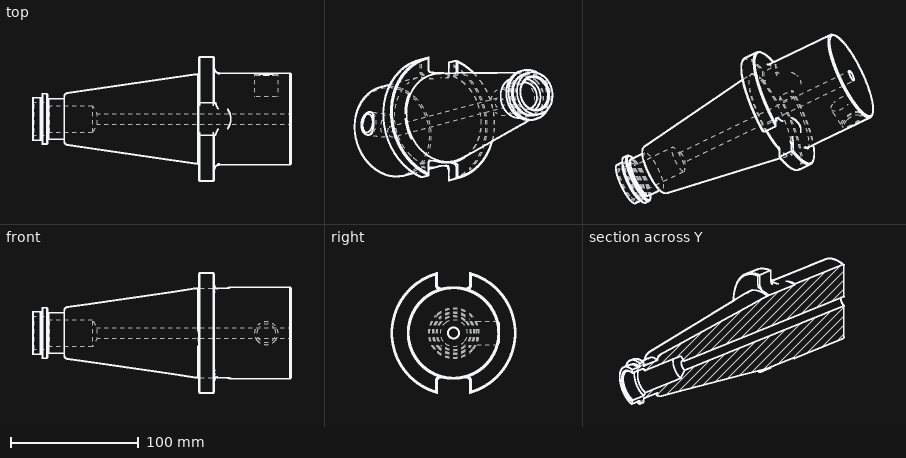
import cadquery as cq
import math

LENGTH = 202.0

GAUGE_X = 126.7
GAUGE_RADIUS = 35.0
TAPER_START_X = 24.5
TAPER_SLOPE = 7 / 48
TAPER_NOSE_RADIUS = 3.0

STUB_RADIUS = 16.8
NECK_RADIUS = 16.0
COLLAR_RADIUS = 19.8
COLLAR_X = 7.5
COLLAR_WIDTH = 4.0
COLLAR_CHAMFER = 0.8
STUB_RELIEF_LENGTH = 1.8
NECK_RELIEF_LENGTH = 1.0
RELIEF_DEPTH = 0.3
RELIEF_FACE_DEPTH = 0.2
RELIEF_FACE_HEIGHT = 0.6

FLANGE_X = 129.7
FLANGE_WIDTH = 12.3
FLANGE_RADIUS = 48.7
FLANGE_CHAMFER = 0.8
FLANGE_END_X = FLANGE_X + FLANGE_WIDTH
GAUGE_FILLET = 0.8

BODY_RADIUS = 36.0
BODY_CHAMFER = 1.0
BODY_FILLET = 3.8

SLOT_WIDTH = 25.7
SLOT_FLOOR = 35.1
SLOT_CORNER_RADIUS = 2.2
SLOT_CHAMFER = 1.0

MOUTH_RADIUS = 13.7
COUNTERBORE_RADIUS = 13.0
COUNTERBORE_DEPTH = 11.3
THREAD_BORE_RADIUS = 10.5
THREAD_BORE_DEPTH = 46.5
COOLANT_RADIUS = 4.2
DRILL_HALF_ANGLE = math.radians(60)

SCREW_X = 182.5
SCREW_RADIUS = 9.0
SCREW_TOP_Y = BODY_RADIUS
SCREW_CHAMFER = 1.8
SCREW_LENGTH = 2 * SCREW_RADIUS
SCREW_FLOOR_Y = SCREW_TOP_Y - SCREW_LENGTH


def revolve_about_x(profile):
    """Turn a closed outline, drawn in X and radius, about the X axis."""
    return profile.close().revolve(360, (0, 0, 0), (1, 0, 0))


def relief_points(root_radius, face_x, side, length):
    """Undercut at the foot of a collar face; side is the way from the face along the shaft."""
    groove_radius = root_radius - RELIEF_DEPTH
    return [
        (face_x + side * length, root_radius),
        (face_x + side * length / 2, groove_radius),
        (face_x - side * RELIEF_FACE_DEPTH, groove_radius),
        (face_x, root_radius + RELIEF_FACE_HEIGHT),
    ]


def make_turned_blank():
    """Stub, taper, flange and front body as one turned outline."""
    collar_end = COLLAR_X + COLLAR_WIDTH
    taper_angle = math.atan(TAPER_SLOPE)
    nose_end_x = TAPER_START_X + TAPER_NOSE_RADIUS * (1 - math.sin(taper_angle))
    nose_end_radius = GAUGE_RADIUS - (GAUGE_X - nose_end_x) * TAPER_SLOPE
    nose_start_radius = nose_end_radius - TAPER_NOSE_RADIUS * math.cos(taper_angle)

    collar = (
        relief_points(STUB_RADIUS, COLLAR_X, -1, STUB_RELIEF_LENGTH)
        + [
            (COLLAR_X, COLLAR_RADIUS),
            (collar_end - COLLAR_CHAMFER, COLLAR_RADIUS),
            (collar_end, COLLAR_RADIUS - COLLAR_CHAMFER),
        ]
        + relief_points(NECK_RADIUS, collar_end, 1, NECK_RELIEF_LENGTH)[::-1]
    )

    outline = cq.Workplane("XY").moveTo(0, 0).lineTo(0, STUB_RADIUS)
    for point in collar:
        outline = outline.lineTo(*point)
    outline = (
        outline.lineTo(TAPER_START_X, NECK_RADIUS)
        .lineTo(TAPER_START_X, nose_start_radius)
        .tangentArcPoint((nose_end_x, nose_end_radius), relative=False)
        .lineTo(GAUGE_X, GAUGE_RADIUS)
        .lineTo(FLANGE_X - GAUGE_FILLET, GAUGE_RADIUS)
        .tangentArcPoint((FLANGE_X, GAUGE_RADIUS + GAUGE_FILLET), relative=False)
        .lineTo(FLANGE_X, FLANGE_RADIUS - FLANGE_CHAMFER)
        .lineTo(FLANGE_X + FLANGE_CHAMFER, FLANGE_RADIUS)
        .lineTo(FLANGE_END_X - FLANGE_CHAMFER, FLANGE_RADIUS)
        .lineTo(FLANGE_END_X, FLANGE_RADIUS - FLANGE_CHAMFER)
        .lineTo(FLANGE_END_X, BODY_RADIUS + BODY_FILLET)
        .tangentArcPoint((FLANGE_END_X + BODY_FILLET, BODY_RADIUS), relative=False)
        .lineTo(LENGTH - BODY_CHAMFER, BODY_RADIUS)
        .lineTo(LENGTH, BODY_RADIUS - BODY_CHAMFER)
        .lineTo(LENGTH, 0)
    )
    return revolve_about_x(outline)


def make_bore():
    """Chamfered counterbore, thread bore with a drill point, and through coolant hole."""
    mouth_depth = MOUTH_RADIUS - COUNTERBORE_RADIUS
    seat_depth = (COUNTERBORE_RADIUS - THREAD_BORE_RADIUS) / math.tan(DRILL_HALF_ANGLE)
    point_depth = (THREAD_BORE_RADIUS - COOLANT_RADIUS) / math.tan(DRILL_HALF_ANGLE)
    outline = cq.Workplane("XY").polyline([
        (0, 0),
        (0, MOUTH_RADIUS),
        (mouth_depth, COUNTERBORE_RADIUS),
        (COUNTERBORE_DEPTH, COUNTERBORE_RADIUS),
        (COUNTERBORE_DEPTH + seat_depth, THREAD_BORE_RADIUS),
        (THREAD_BORE_DEPTH, THREAD_BORE_RADIUS),
        (THREAD_BORE_DEPTH + point_depth, COOLANT_RADIUS),
        (LENGTH, COOLANT_RADIUS),
        (LENGTH, 0),
    ])
    return revolve_about_x(outline)


def make_slot_chamfer(face_x, outward):
    """Wedge that bevels the slot walls at a flange face, leaving the slot floor flat."""
    start_x = face_x - outward * SLOT_CHAMFER
    top = FLANGE_RADIUS + SLOT_CHAMFER
    flare = (
        cq.Workplane("YZ", origin=(start_x, 0, 0))
        .sketch()
        .push([(0, (SLOT_FLOOR + top) / 2)])
        .rect(SLOT_WIDTH, top - SLOT_FLOOR)
        .reset()
        .vertices("<Y")
        .fillet(SLOT_CORNER_RADIUS)
        .finalize()
        .extrude(outward * SLOT_CHAMFER, taper=-45)
    )
    above_floor = cq.Workplane("XY", origin=(face_x, 0, SLOT_FLOOR)).box(
        2 * SLOT_CHAMFER, 2 * SLOT_WIDTH, FLANGE_RADIUS, centered=(True, True, False)
    )
    return flare.intersect(above_floor)


def make_slot():
    """Slot across the flange with rounded floor corners and a round run-out in the body."""
    height = FLANGE_RADIUS - SLOT_FLOOR
    channel = (
        cq.Workplane("XY", origin=(FLANGE_X, 0, SLOT_FLOOR))
        .box(FLANGE_WIDTH, SLOT_WIDTH, height, centered=(False, True, False))
        .edges("|X and <Z")
        .fillet(SLOT_CORNER_RADIUS)
    )
    run_out = (
        cq.Workplane("XY", origin=(FLANGE_END_X, 0, SLOT_FLOOR))
        .moveTo(0, -SLOT_WIDTH / 2)
        .threePointArc((SLOT_WIDTH / 2, 0), (0, SLOT_WIDTH / 2))
        .close()
        .extrude(height)
    )
    slot = channel.union(run_out)
    for face_x, outward in ((FLANGE_X, -1), (FLANGE_END_X, 1)):
        slot = slot.union(make_slot_chamfer(face_x, outward))
    return slot


def make_screw_hole():
    """Blind round hole from the +Y side down to the foot of the screw."""
    return (
        cq.Workplane("XZ", origin=(SCREW_X, SCREW_FLOOR_Y, 0))
        .circle(SCREW_RADIUS)
        .extrude(SCREW_FLOOR_Y - FLANGE_RADIUS)
    )


def make_holder():
    slot = make_slot()
    holder = make_turned_blank().cut(make_bore()).cut(make_screw_hole())
    for angle in (0, 180):
        holder = holder.cut(slot.rotate((0, 0, 0), (1, 0, 0), angle))
    return holder


def make_clamping_screw():
    """Headless screw with a chamfered outer end, seated on the hole floor and level with the body."""
    return (
        cq.Workplane("XZ", origin=(SCREW_X, SCREW_FLOOR_Y, 0))
        .circle(SCREW_RADIUS)
        .extrude(-SCREW_LENGTH)
        .faces(">Y")
        .chamfer(SCREW_CHAMFER)
    )


holder = make_holder()
clamping_screw = make_clamping_screw()

result = cq.Compound.makeCompound([holder.val(), clamping_screw.val()])